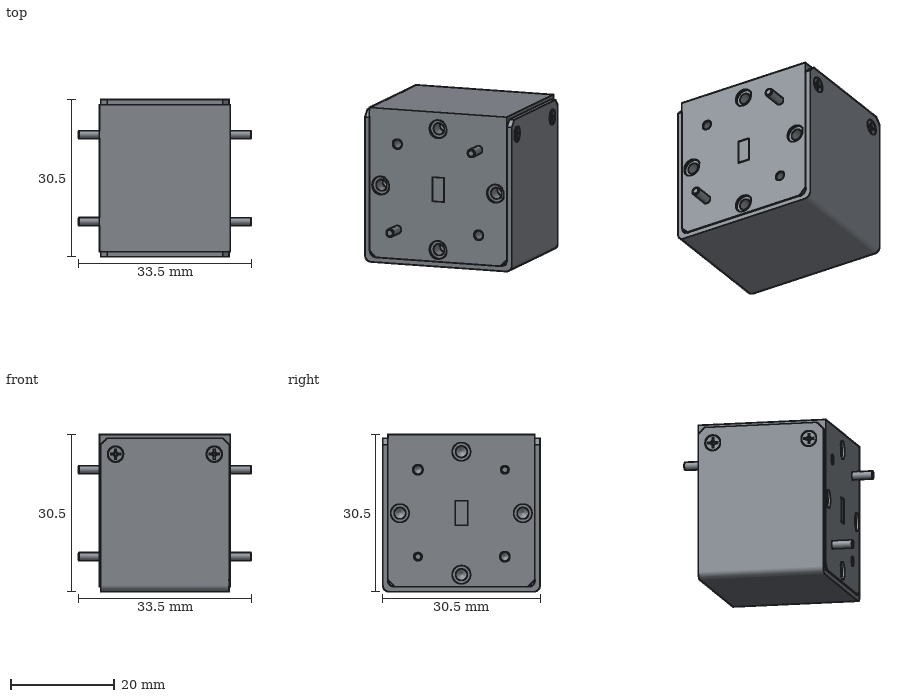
import cadquery as cq
import math


overall_length = 33.53
overall_width = 30.48
overall_height = 30.48
sheet_thickness = 1.0
housing_length = 25.38
housing_edge_chamfer = 1.3

cover_length = 24.9
cover_top_gap = 0.7
cover_corner_chamfer = 1.27
cover_outer_radius = 1.27
cover_inner_radius = 1.25

bolt_circle_radius = 11.9
bolt_hole_diameter = 2.25
bolt_hole_depth = 4.02
counterbore_diameter = 3.55
counterbore_depth = 0.5

pin_diameter = 1.6
pin_embedded_length = 3.35
pin_tip_chamfer_length = 0.15
pin_tip_chamfer_width = 0.2
pin_clearance_diameter = 1.7
pin_clearance_depth = 4.7
pin_clearance_chamfer = 0.15

waveguide_width = 2.38
waveguide_height = 4.75
waveguide_depth = 0.17

drill_tip_angle = 118.0

screw_spacing = 19.1
screw_height = 11.45
countersink_diameter = 3.1
countersink_angle = 82.0
screw_head_diameter = 2.92
screw_shank_diameter = 1.5
screw_length = 3.35
cross_length = 1.95
cross_slot_width = 0.3
cross_depth = 0.35
cross_core_radius = 0.45
cross_core_depth = 0.67

housing_width = overall_width - 2 * sheet_thickness
housing_top = overall_height / 2
housing_bottom = -overall_height / 2 + sheet_thickness
flange_x = housing_length / 2
pin_length = (overall_length - housing_length) / 2 + pin_embedded_length
pin_offset = bolt_circle_radius * math.sin(math.radians(45))
cover_face_y = overall_width / 2
countersink_slope = math.tan(math.radians(countersink_angle / 2))
head_sink = (countersink_diameter - screw_head_diameter) / 2 / countersink_slope
head_height = (screw_head_diameter - screw_shank_diameter) / 2 / countersink_slope

bolt_places = [
    (bolt_circle_radius, 0),
    (0, bolt_circle_radius),
    (-bolt_circle_radius, 0),
    (0, -bolt_circle_radius),
]
pin_places = [(-pin_offset, pin_offset), (pin_offset, -pin_offset)]
clearance_places = [(pin_offset, pin_offset), (-pin_offset, -pin_offset)]
flange_turns = [0, 180]

screw_places = [-screw_spacing / 2, screw_spacing / 2]
screw_turns = [0, 180]


def turned(shape, angle):
    """Turn a shape about the vertical axis."""
    return shape.rotate((0, 0, 0), (0, 0, 1), angle)


def flange_cylinder(y, z, diameter, length):
    """Cylinder running from the -X flange into the housing."""
    return cq.Workplane("YZ", origin=(-flange_x, y, z)).circle(diameter / 2).extrude(length)


def drilled_hole(y, z, diameter, depth):
    """Blind hole in the -X flange with a drill-point bottom."""
    radius = diameter / 2
    tip = radius / math.tan(math.radians(drill_tip_angle / 2))
    return (
        cq.Workplane("XY", origin=(-flange_x, y, z))
        .polyline([(0, 0), (0, radius), (depth, radius), (depth + tip, 0)])
        .close()
        .revolve(360, (0, 0), (1, 0))
    )


def hole_chamfer(y, z):
    """Entry chamfer of a pin clearance hole."""
    mouth_radius = pin_clearance_diameter / 2 + pin_clearance_chamfer
    return (
        cq.Workplane("XY", origin=(-flange_x, y, z))
        .polyline([(0, 0), (0, mouth_radius), (mouth_radius, 0)])
        .close()
        .revolve(360, (0, 0), (1, 0))
    )


def flange_cuts():
    """All the material removed at the -X flange."""
    cuts = cq.Workplane("YZ", origin=(-flange_x, 0, 0))
    cuts = cuts.rect(waveguide_width, waveguide_height).extrude(waveguide_depth)
    for y, z in bolt_places:
        cuts = cuts.union(flange_cylinder(y, z, counterbore_diameter, counterbore_depth))
        cuts = cuts.union(drilled_hole(y, z, bolt_hole_diameter, bolt_hole_depth))
    for y, z in clearance_places:
        cuts = cuts.union(drilled_hole(y, z, pin_clearance_diameter, pin_clearance_depth))
        cuts = cuts.union(hole_chamfer(y, z))
    for y, z in pin_places:
        cuts = cuts.union(flange_cylinder(y, z, pin_diameter, pin_embedded_length))
    return cuts


def screw_hole(x):
    """Countersunk screw hole through the cover and into the housing on the -Y side."""
    mouth_radius = countersink_diameter / 2
    shank_radius = screw_shank_diameter / 2
    profile = [
        (0, 0),
        (mouth_radius, 0),
        (shank_radius, head_sink + head_height),
        (shank_radius, head_sink + screw_length),
        (0, head_sink + screw_length),
    ]
    return (
        cq.Workplane("XY", origin=(x, -cover_face_y, screw_height))
        .polyline(profile)
        .close()
        .revolve(360, (0, 0), (0, 1))
    )


def make_housing():
    """Block with chamfered lower edges and a flange on each end."""
    housing = (
        cq.Workplane("XY", origin=(0, 0, housing_bottom))
        .box(housing_length, housing_width, housing_top - housing_bottom, centered=(True, True, False))
        .edges("|X and <Z")
        .chamfer(housing_edge_chamfer)
    )
    for angle in flange_turns:
        housing = housing.cut(turned(flange_cuts(), angle))
    for angle in screw_turns:
        for x in screw_places:
            housing = housing.cut(turned(screw_hole(x), angle))
    return housing


def make_cover():
    """U-shaped sheet wrapped under the housing and up its two sides."""
    cover_height = overall_height - cover_top_gap
    bottom = -overall_height / 2
    outside = (
        cq.Workplane("XY", origin=(0, 0, bottom))
        .box(cover_length, overall_width, cover_height, centered=(True, True, False))
        .edges("|X and <Z")
        .fillet(cover_outer_radius)
        .edges("|Y and >Z")
        .chamfer(cover_corner_chamfer)
    )
    inside = (
        cq.Workplane("XY", origin=(0, 0, housing_bottom))
        .box(cover_length, housing_width, cover_height, centered=(True, True, False))
        .edges("|X and <Z")
        .fillet(cover_inner_radius)
    )
    cover = outside.cut(inside)
    for angle in screw_turns:
        for x in screw_places:
            cover = cover.cut(turned(screw_hole(x), angle))
    return cover


def make_pin(y, z):
    """Alignment pin seated in the -X flange, with a chamfered tip."""
    radius = pin_diameter / 2
    profile = [
        (0, 0),
        (0, radius - pin_tip_chamfer_width),
        (pin_tip_chamfer_length, radius),
        (pin_length, radius),
        (pin_length, 0),
    ]
    return (
        cq.Workplane("XY", origin=(-overall_length / 2, y, z))
        .polyline(profile)
        .close()
        .revolve(360, (0, 0), (1, 0))
    )


def cross_recess():
    """Cross recess of two V-bottomed slots and a conical core, opening at y = 0."""
    slot = (
        cq.Workplane("XY")
        .polyline([(-cross_length / 2, 0), (cross_length / 2, 0), (0, cross_depth)])
        .close()
        .extrude(cross_slot_width / 2, both=True)
    )
    core = (
        cq.Workplane("XY")
        .polyline([(0, 0), (cross_core_radius, 0), (0, cross_core_depth)])
        .close()
        .revolve(360, (0, 0), (0, 1))
    )
    return slot.union(slot.rotate((0, 0, 0), (0, 1, 0), 90)).union(core)


def make_screw(x):
    """Countersunk cross-recessed screw on the -Y side, head just below the cover face."""
    head_radius = screw_head_diameter / 2
    shank_radius = screw_shank_diameter / 2
    profile = [
        (0, 0),
        (head_radius, 0),
        (shank_radius, head_height),
        (shank_radius, screw_length),
        (0, screw_length),
    ]
    screw = cq.Workplane("XY").polyline(profile).close().revolve(360, (0, 0), (0, 1))
    return screw.cut(cross_recess()).translate((x, head_sink - cover_face_y, screw_height))


housing = make_housing()
cover = make_cover()
pins = [turned(make_pin(y, z), angle).val() for angle in flange_turns for y, z in pin_places]
screws = [turned(make_screw(x), angle).val() for angle in screw_turns for x in screw_places]

result = cq.Compound.makeCompound([housing.val(), cover.val(), *pins, *screws])